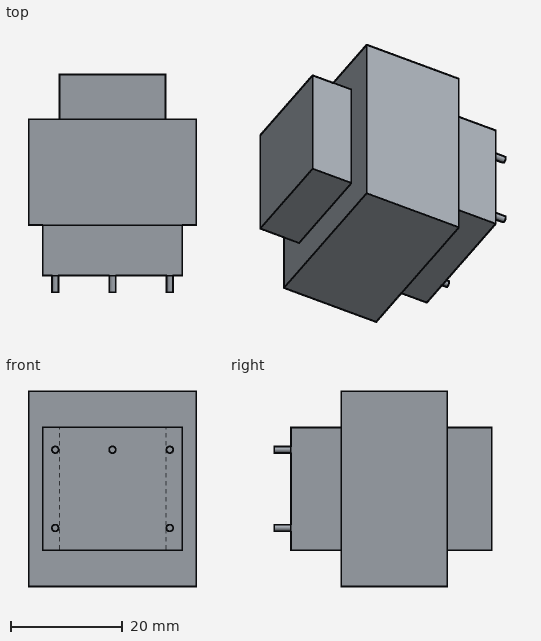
import cadquery as cq

core_width = 30.0
core_depth = 19.0
core_height = 35.0

bobbin_height = 22.0
front_width = 25.0
front_depth = 9.0
rear_width = 19.0
rear_depth = 8.0

pin_diameter = 1.2
pin_length = 3.0
pin_column_pitch = 10.25
pin_row_spacing = 14.0

core_front_y = -core_depth / 2
core_rear_y = core_depth / 2
bobbin_front_y = core_front_y - front_depth


def block(width, depth, height, front_y):
    """Box centred on X and Z whose front face lies at front_y."""
    return cq.Workplane("XY").box(width, depth, height).translate((0, front_y + depth / 2, 0))


def pins():
    """Three pins in the upper row and two outer pins in the lower row."""
    upper_z = pin_row_spacing / 2
    lower_z = -pin_row_spacing / 2
    upper_row = [(column * pin_column_pitch, upper_z) for column in (-1, 0, 1)]
    lower_row = [(column * pin_column_pitch, lower_z) for column in (-1, 1)]
    return (
        cq.Workplane("XZ", origin=(0, bobbin_front_y, 0))
        .pushPoints(upper_row + lower_row)
        .circle(pin_diameter / 2)
        .extrude(pin_length)
    )


core = block(core_width, core_depth, core_height, core_front_y)
front_bobbin = block(front_width, front_depth, bobbin_height, bobbin_front_y)
rear_bobbin = block(rear_width, rear_depth, bobbin_height, core_rear_y)

result = core.union(front_bobbin).union(rear_bobbin).union(pins())